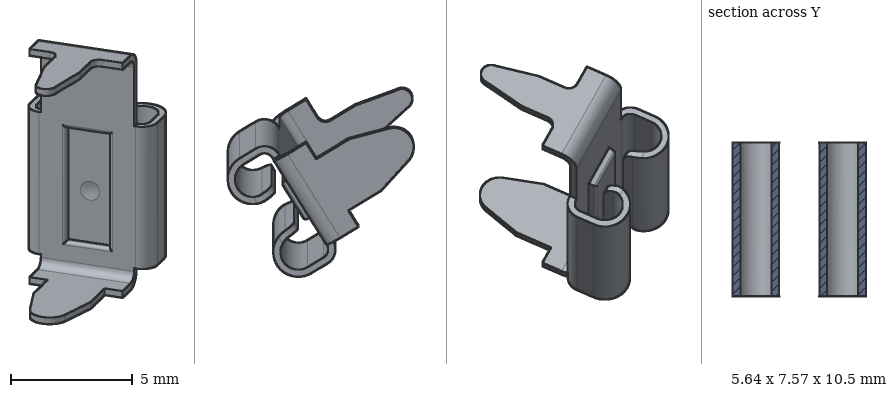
import cadquery as cq
import math

HEIGHT = 10.46
WIDTH = 5.64
SHEET = 0.3
BEND_INNER = 0.39
BEND_OUTER = BEND_INNER + SHEET
SINE_45 = math.sqrt(0.5)

PLATE_HALF = 2.06

SHOULDER_Y = -1.28
TAPER_Y = -2.86
TIP_Y = -5.07
LOWER_TONGUE_HALF = 1.27
LOWER_TIP_HALF = 0.77
LOWER_TIP_START_Y = -4.52
UPPER_TONGUE_HALF = 0.78
UPPER_TIP_HALF = 0.43
UPPER_TIP_START_Y = -4.64
UPPER_SHOULDER_FILLET = 0.39

CURL_BOTTOM = 0.82
CURL_TOP = 7.15
CURL_OUTER = 1.04
CURL_INNER = CURL_OUTER - SHEET
CURL_BACK = 2.5
CURL_CENTER_Y = CURL_BACK - CURL_OUTER
CURL_CENTER_X = WIDTH / 2 - CURL_OUTER
CURL_BEND_X = WIDTH / 2 - BEND_OUTER
LIP_Y = 1.03
LIP_ROUND = 0.81

WINDOW_HALF = 0.95
WINDOW_BOTTOM = 1.56
WINDOW_TOP = 6.6
WINDOW_ROUND = 0.15
PAD_ROUND = 0.12
PAD_THICKNESS = 0.32
PAD_TAPER = 10.0
PAD_BACK = SHEET + PAD_THICKNESS

DIMPLE_Z = 3.85
DIMPLE_RIM = 0.42
DIMPLE_DEPTH = 0.06
DIMPLE_SPHERE = (DIMPLE_RIM**2 + DIMPLE_DEPTH**2) / (2 * DIMPLE_DEPTH)


def box(x_half, y_min, y_max, z_min, z_max):
    """Axis-aligned box, symmetric about X = 0."""
    block = cq.Workplane("XY").box(2 * x_half, y_max - y_min, z_max - z_min, centered=(True, False, False))
    return block.translate((0, y_min, z_min))


def bent_strip():
    """Strip bent into a C: the plate with a full-width flange at each end."""
    outside = box(PLATE_HALF, TIP_Y, SHEET, 0, HEIGHT).edges(">Y and |X").fillet(BEND_OUTER)
    inside = box(PLATE_HALF, TIP_Y, 0, SHEET, HEIGHT - SHEET).edges(">Y and |X").fillet(BEND_INNER)
    return outside.cut(inside)


def tab_blank(tongue_half, tip_half, tip_start_y, z_min):
    """Prism half the strip's height with the outline of one tab: shoulder, taper and round tip."""
    return (
        cq.Workplane("XY", origin=(0, 0, z_min))
        .moveTo(-PLATE_HALF, SHEET)
        .lineTo(-PLATE_HALF, SHOULDER_Y)
        .lineTo(-tongue_half, SHOULDER_Y)
        .lineTo(-tongue_half, TAPER_Y)
        .lineTo(-tip_half, tip_start_y)
        .threePointArc((0, TIP_Y), (tip_half, tip_start_y))
        .lineTo(tongue_half, TAPER_Y)
        .lineTo(tongue_half, SHOULDER_Y)
        .lineTo(PLATE_HALF, SHOULDER_Y)
        .lineTo(PLATE_HALF, SHEET)
        .close()
        .extrude(HEIGHT / 2)
    )


def tabbed_strip():
    """Bent strip with its two flanges trimmed to the tab outlines."""
    lower = tab_blank(LOWER_TONGUE_HALF, LOWER_TIP_HALF, LOWER_TIP_START_Y, 0)
    upper = tab_blank(UPPER_TONGUE_HALF, UPPER_TIP_HALF, UPPER_TIP_START_Y, HEIGHT / 2)
    for side in (-1, 1):
        corner = cq.selectors.NearestToPointSelector((side * UPPER_TONGUE_HALF, SHOULDER_Y, HEIGHT))
        upper = upper.edges("|Z").edges(corner).fillet(UPPER_SHOULDER_FILLET)
    return bent_strip().intersect(lower.union(upper))


def right_curl():
    """Curl on the +X side: bend, straight side, half-round roll and lip with rounded corners."""
    side_out = WIDTH / 2
    side_in = side_out - SHEET
    curl = (
        cq.Workplane("XY", origin=(0, 0, CURL_BOTTOM))
        .moveTo(0, 0)
        .lineTo(CURL_BEND_X, 0)
        .threePointArc(
            (CURL_BEND_X + BEND_OUTER * SINE_45, BEND_OUTER * (1 - SINE_45)),
            (side_out, BEND_OUTER),
        )
        .lineTo(side_out, CURL_CENTER_Y)
        .threePointArc((CURL_CENTER_X, CURL_BACK), (CURL_CENTER_X - CURL_OUTER, CURL_CENTER_Y))
        .lineTo(CURL_CENTER_X - CURL_OUTER, LIP_Y)
        .lineTo(CURL_CENTER_X - CURL_INNER, LIP_Y)
        .lineTo(CURL_CENTER_X - CURL_INNER, CURL_CENTER_Y)
        .threePointArc((CURL_CENTER_X, CURL_BACK - SHEET), (side_in, CURL_CENTER_Y))
        .lineTo(side_in, BEND_OUTER)
        .threePointArc(
            (CURL_BEND_X + BEND_INNER * SINE_45, BEND_OUTER - BEND_INNER * SINE_45),
            (CURL_BEND_X, SHEET),
        )
        .lineTo(0, SHEET)
        .close()
        .extrude(CURL_TOP - CURL_BOTTOM)
    )
    return curl.cut(lip_corner(CURL_TOP, -1)).cut(lip_corner(CURL_BOTTOM, 1))


def lip_corner(end_z, inward):
    """Waste outside the rounded lip corner at one end; inward is the Z direction into the curl."""
    round_mid = LIP_ROUND * (1 - SINE_45)
    return (
        cq.Workplane("YZ", origin=(CURL_CENTER_X - CURL_OUTER, 0, 0))
        .moveTo(LIP_Y, end_z)
        .lineTo(LIP_Y + LIP_ROUND, end_z)
        .threePointArc(
            (LIP_Y + round_mid, end_z + inward * round_mid),
            (LIP_Y, end_z + inward * LIP_ROUND),
        )
        .close()
        .extrude(CURL_OUTER)
    )


def window_cutter():
    """Rectangular opening through the plate, widening in a convex round at the front face."""
    block = box(WINDOW_HALF + WINDOW_ROUND, 0, WINDOW_ROUND,
                WINDOW_BOTTOM - WINDOW_ROUND, WINDOW_TOP + WINDOW_ROUND)
    opening = box(WINDOW_HALF, 0, SHEET, WINDOW_BOTTOM, WINDOW_TOP)
    long_bead = cq.Workplane("XY").circle(WINDOW_ROUND).extrude(HEIGHT)
    for side in (-1, 1):
        block = block.cut(long_bead.translate((side * (WINDOW_HALF + WINDOW_ROUND), WINDOW_ROUND, 0)))
    cross_bead = cq.Workplane("YZ").circle(WINDOW_ROUND).extrude(WIDTH / 2, both=True)
    for bead_z in (WINDOW_BOTTOM - WINDOW_ROUND, WINDOW_TOP + WINDOW_ROUND):
        block = block.cut(cross_bead.translate((0, WINDOW_ROUND, bead_z)))
    return block.union(opening)


def make_clip():
    """Sheet clip: plate, two tabs, two curls and the window."""
    curl = right_curl()
    clip = tabbed_strip().union(curl).union(curl.mirror("YZ"))
    return clip.cut(window_cutter())


def dimple_cap(face_y):
    """Spherical cap standing behind the plane Y = face_y, as high as the dimple is deep."""
    return (
        cq.Workplane("XY", origin=(0, face_y, DIMPLE_Z))
        .moveTo(0, 0)
        .lineTo(DIMPLE_RIM, 0)
        .radiusArc((0, DIMPLE_DEPTH), -DIMPLE_SPHERE)
        .close()
        .revolve(360, (0, 0, 0), (0, 1, 0))
    )


def pad_block():
    """Drafted block that narrows toward the rear, with a rounded rear rim."""
    block = (
        cq.Workplane("XY")
        .rect(2 * WINDOW_HALF, WINDOW_TOP - WINDOW_BOTTOM)
        .extrude(PAD_THICKNESS, taper=PAD_TAPER)
        .faces(">Z")
        .edges()
        .fillet(PAD_ROUND)
    )
    upright = block.rotate((0, 0, 0), (1, 0, 0), -90)
    return upright.translate((0, SHEET, (WINDOW_BOTTOM + WINDOW_TOP) / 2))


def make_pad():
    """Pad closing the window from behind, with the dimple hollow in front and raised at the rear."""
    return pad_block().union(dimple_cap(PAD_BACK)).cut(dimple_cap(SHEET))


clip = make_clip()
pad = make_pad()
result = cq.Compound.makeCompound([clip.solids().val(), pad.solids().val()])